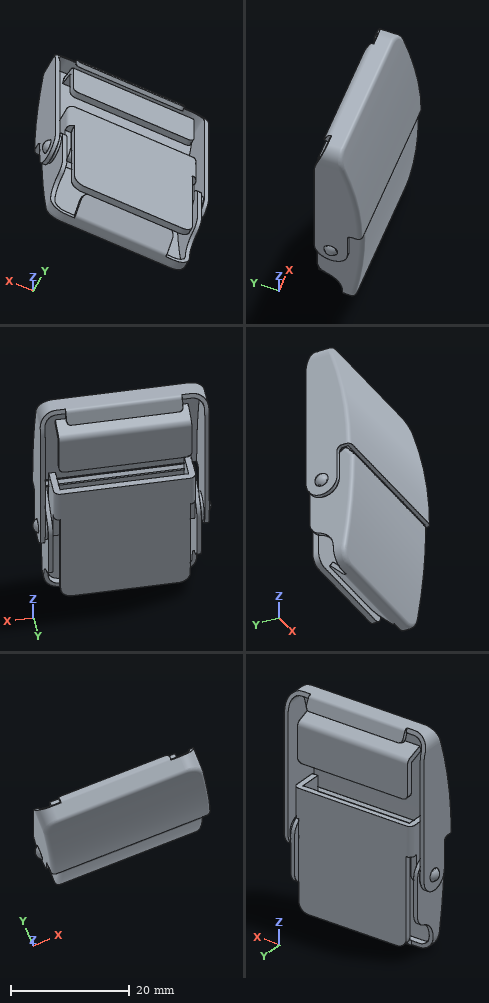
import cadquery as cq
import math


SHEET = 0.8
RIM_FILLET = 0.8
BEND_RADIUS = 0.8
CORNER_RADIUS = 2.9
LIP_INSET = 1.6
SHELL_BACK = 3.0
FRONT = -5.5
EAR_RADIUS = 3.0
OVERCUT = 20.0

UPPER_WIDTH = 29.0
UPPER_TOP = 27.8
UPPER_BOTTOM = 5.9
UPPER_DOME_RADIUS = 60.0
UPPER_SLANT = math.radians(20)
UPPER_SLANT_BLEND = 5.0
UPPER_EDGE = 1.6
EAR_BLEND = 0.9
UPPER_LIP_TURN = math.radians(67)
UPPER_LIP_LENGTH = 2.65
UPPER_LIP_CORNER = 0.8

LOWER_WIDTH = 26.3
LOWER_BOTTOM = -16.2
LOWER_DOME_RADIUS = 105.0
FOLD_Z = 4.6
FLANGE_ANGLE = math.radians(50)
FLANGE_LENGTH = 2.4
LOWER_EDGE = -1.55
NOTCH_RADIUS = 3.8
SHOULDER_RADIUS = 2.5
LOWER_LIP_TURN = math.radians(45)
LOWER_LIP_LENGTH = 4.9
LOWER_LIP_CORNER = 1.9

PLATE_BACK = 3.5
PLATE_THICKNESS = 1.15
HOOK_WIDTH = 22.8
FRAME_WIDTH = 24.4
FRAME_BEND_RADIUS = 1.05
FRAME_TOP = 10.0
FRAME_BOTTOM = -13.9
FRAME_CORNER = 2.0
FRAME_EAR_BOTTOM = 4.0
FRAME_EAR_RADIUS = 2.0
HOOK_BOTTOM = 15.0
HOOK_BEND_START = 21.8
HOOK_BEND_RADIUS = 1.2
HOOK_CORNER = 1.0
HOOK_TILT = math.radians(20)
HOOK_LIP_LENGTH = 3.0

PIN_RADIUS = 1.0
HEAD_RADIUS = 1.25
HEAD_HEIGHT = 0.8
WASHER_RADIUS = 2.5


def side_sketch(width):
    """A YZ workplane at the left end of a body of this width, to extrude along +X."""
    return cq.Workplane("YZ", origin=(-width / 2, 0, 0))


def dome_y(z, top_z, radius, inset=0.0):
    """Y of a domed front wall that is foremost at top_z, moved back by inset."""
    return FRONT + radius - math.sqrt((radius - inset) ** 2 - (z - top_z) ** 2)


def end_outline(width, end_z, open_z, corner):
    """A prism along Y whose two corners at end_z are rounded."""
    prism = cq.Workplane("XY").box(width, 2 * OVERCUT, abs(end_z - open_z))
    prism = prism.translate((0, 0, (end_z + open_z) / 2))
    return prism.edges("|Y").edges(">Z" if end_z > open_z else "<Z").fillet(corner)


def lip(wall_edge, wall_z, turn, length, width, corner):
    """A lip that bends out of an end wall, turned back toward the middle by the angle turn."""
    inward = -math.copysign(1, wall_z)
    along = (math.cos(turn), inward * math.sin(turn))
    miter = math.tan(turn / 2)
    bend_y = wall_edge + BEND_RADIUS * miter
    tip = (bend_y + length * along[0], wall_z + length * along[1])
    tip_inner = (tip[0] - SHEET * math.sin(turn), tip[1] + inward * SHEET * math.cos(turn))
    inner_z = wall_z + inward * SHEET
    root_y = wall_edge - SHEET
    strip = (
        side_sketch(width)
        .moveTo(root_y, wall_z)
        .lineTo(bend_y, wall_z)
        .lineTo(*tip)
        .lineTo(*tip_inner)
        .lineTo(bend_y - SHEET * miter, inner_z)
        .lineTo(root_y, inner_z)
        .close()
        .extrude(width)
    )
    strip = strip.edges(cq.NearestToPointSelector((0, bend_y, wall_z))).fillet(BEND_RADIUS)
    for side in (-1, 1):
        tip_corner = (side * width / 2, (tip[0] + tip_inner[0]) / 2, (tip[1] + tip_inner[1]) / 2)
        strip = strip.edges(cq.NearestToPointSelector(tip_corner)).fillet(corner)
    return strip


def x_cylinder(radius, length):
    """A cylinder on the hinge axis, centred on X = 0."""
    return side_sketch(length).circle(radius).extrude(length)


def make_upper_shell():
    slant_start = UPPER_TOP - (SHELL_BACK - UPPER_EDGE) / math.tan(UPPER_SLANT)
    middle_z = (UPPER_TOP + UPPER_BOTTOM) / 2
    dome_middle = (dome_y(middle_z, UPPER_BOTTOM, UPPER_DOME_RADIUS), middle_z)
    dome_top = (dome_y(UPPER_TOP, UPPER_BOTTOM, UPPER_DOME_RADIUS), UPPER_TOP)
    body = (
        side_sketch(UPPER_WIDTH)
        .moveTo(FRONT, UPPER_BOTTOM)
        .threePointArc(dome_middle, dome_top)
        .lineTo(UPPER_EDGE, UPPER_TOP)
        .lineTo(SHELL_BACK, slant_start)
        .lineTo(SHELL_BACK, 0)
        .threePointArc((0, -EAR_RADIUS), (-EAR_RADIUS, 0))
        .lineTo(-EAR_RADIUS, UPPER_BOTTOM)
        .close()
        .extrude(UPPER_WIDTH)
    )
    body = body.edges(cq.NearestToPointSelector((0, SHELL_BACK, slant_start))).fillet(UPPER_SLANT_BLEND)
    body = body.edges(cq.NearestToPointSelector((0, -EAR_RADIUS, UPPER_BOTTOM))).fillet(EAR_BLEND)
    body = body.intersect(end_outline(UPPER_WIDTH, UPPER_TOP, -OVERCUT, CORNER_RADIUS))
    dome = body.faces(cq.NearestToPointSelector((0, *dome_middle)))
    body = body.newObject(dome.edges().vals()).edges("not(<Z)").fillet(RIM_FILLET)

    inner_top = UPPER_TOP - SHEET
    inner_width = UPPER_WIDTH - 2 * SHEET
    cavity = (
        side_sketch(inner_width)
        .moveTo(FRONT + SHEET, UPPER_BOTTOM)
        .threePointArc(
            (dome_y(middle_z, UPPER_BOTTOM, UPPER_DOME_RADIUS, SHEET), middle_z),
            (dome_y(inner_top, UPPER_BOTTOM, UPPER_DOME_RADIUS, SHEET), inner_top),
        )
        .lineTo(OVERCUT, inner_top)
        .lineTo(OVERCUT, -OVERCUT)
        .lineTo(FRONT + SHEET, -OVERCUT)
        .close()
        .extrude(inner_width)
    )
    cavity = cavity.intersect(end_outline(inner_width, inner_top, -OVERCUT, CORNER_RADIUS - SHEET))
    body = body.cut(cavity)
    lip_width = UPPER_WIDTH - 2 * (CORNER_RADIUS + LIP_INSET)
    body = body.union(lip(UPPER_EDGE, UPPER_TOP, UPPER_LIP_TURN, UPPER_LIP_LENGTH,
                          lip_width, UPPER_LIP_CORNER))
    return body.cut(x_cylinder(PIN_RADIUS, UPPER_WIDTH))


def make_lower_shell():
    along = (math.cos(FLANGE_ANGLE), math.sin(FLANGE_ANGLE))
    fold_miter = math.tan((math.pi / 2 - FLANGE_ANGLE) / 2)
    flange_tip = (FRONT + FLANGE_LENGTH * along[0], FOLD_Z + FLANGE_LENGTH * along[1])
    flange_inner = (flange_tip[0] + SHEET * along[1], flange_tip[1] - SHEET * along[0])

    tip_angle = math.atan2(flange_inner[1], flange_inner[0])
    tangent_angle = tip_angle - math.acos(EAR_RADIUS / math.hypot(*flange_inner))
    ear_start = (EAR_RADIUS * math.cos(tangent_angle), EAR_RADIUS * math.sin(tangent_angle))
    ear_middle = (EAR_RADIUS * math.cos(tangent_angle / 2), EAR_RADIUS * math.sin(tangent_angle / 2))

    notch_y = LOWER_EDGE + NOTCH_RADIUS
    notch_z = LOWER_BOTTOM + CORNER_RADIUS
    shoulder_y = SHELL_BACK - SHOULDER_RADIUS
    reach = NOTCH_RADIUS + SHOULDER_RADIUS
    shoulder_z = notch_z + math.sqrt(reach ** 2 - (notch_y - shoulder_y) ** 2)
    share = NOTCH_RADIUS / reach
    sweep_join = (notch_y + share * (shoulder_y - notch_y), notch_z + share * (shoulder_z - notch_z))

    middle_z = (FOLD_Z + LOWER_BOTTOM) / 2
    dome_middle = (dome_y(middle_z, FOLD_Z, LOWER_DOME_RADIUS), middle_z)
    dome_bottom = (dome_y(LOWER_BOTTOM, FOLD_Z, LOWER_DOME_RADIUS), LOWER_BOTTOM)
    body = (
        side_sketch(LOWER_WIDTH)
        .moveTo(*flange_inner)
        .lineTo(*ear_start)
        .threePointArc(ear_middle, (SHELL_BACK, 0))
        .lineTo(SHELL_BACK, shoulder_z)
        .tangentArcPoint(sweep_join, relative=False)
        .tangentArcPoint((LOWER_EDGE, notch_z), relative=False)
        .lineTo(LOWER_EDGE, LOWER_BOTTOM)
        .lineTo(*dome_bottom)
        .threePointArc(dome_middle, (FRONT, FOLD_Z))
        .lineTo(*flange_tip)
        .close()
        .extrude(LOWER_WIDTH)
    )
    body = body.edges(cq.NearestToPointSelector((0, FRONT, FOLD_Z))).fillet(BEND_RADIUS)
    body = body.intersect(end_outline(LOWER_WIDTH, LOWER_BOTTOM, OVERCUT, CORNER_RADIUS))
    flange_middle = (FRONT + FLANGE_LENGTH / 2 * along[0], FOLD_Z + FLANGE_LENGTH / 2 * along[1])
    rim = []
    for point in (dome_middle, (FRONT, FOLD_Z), flange_middle):
        edges = body.faces(cq.NearestToPointSelector((0, *point))).edges()
        rim.extend(edges.edges("not(|X)").vals())
    dome = body.faces(cq.NearestToPointSelector((0, *dome_middle)))
    rim.extend(dome.edges("<Z").vals())
    body = body.newObject(rim).fillet(RIM_FILLET)

    inner_bottom = LOWER_BOTTOM + SHEET
    inner_width = LOWER_WIDTH - 2 * SHEET
    inner_fold = (FRONT + SHEET, FOLD_Z - SHEET * fold_miter)
    cavity = (
        side_sketch(inner_width)
        .moveTo(*inner_fold)
        .lineTo(inner_fold[0] + OVERCUT * along[0], inner_fold[1] + OVERCUT * along[1])
        .lineTo(OVERCUT, inner_bottom)
        .lineTo(dome_y(inner_bottom, FOLD_Z, LOWER_DOME_RADIUS, SHEET), inner_bottom)
        .threePointArc((dome_y(middle_z, FOLD_Z, LOWER_DOME_RADIUS, SHEET), middle_z), inner_fold)
        .close()
        .extrude(inner_width)
    )
    cavity = cavity.intersect(end_outline(inner_width, inner_bottom, OVERCUT, CORNER_RADIUS - SHEET))
    body = body.cut(cavity)
    lip_width = LOWER_WIDTH - 2 * (CORNER_RADIUS + LIP_INSET)
    body = body.union(lip(LOWER_EDGE, LOWER_BOTTOM, LOWER_LIP_TURN, LOWER_LIP_LENGTH,
                          lip_width, LOWER_LIP_CORNER))
    return body.cut(x_cylinder(PIN_RADIUS, LOWER_WIDTH))


def make_frame():
    """Back plate with two ears that bend forward and carry the pin."""
    plate_width = FRAME_WIDTH - 2 * FRAME_BEND_RADIUS
    plate = cq.Workplane("XY").box(
        plate_width, PLATE_THICKNESS, FRAME_TOP - FRAME_BOTTOM, centered=(True, False, False)
    )
    plate = plate.translate((0, PLATE_BACK - PLATE_THICKNESS, FRAME_BOTTOM))
    plate = plate.edges("|Y and <Z").fillet(FRAME_CORNER)

    ears = (
        side_sketch(FRAME_WIDTH)
        .moveTo(PLATE_BACK, FRAME_TOP)
        .lineTo(-FRAME_EAR_RADIUS, FRAME_TOP)
        .lineTo(-FRAME_EAR_RADIUS, 0)
        .threePointArc((0, -FRAME_EAR_RADIUS), (FRAME_EAR_RADIUS, 0))
        .lineTo(FRAME_EAR_RADIUS, FRAME_EAR_BOTTOM)
        .lineTo(PLATE_BACK, FRAME_EAR_BOTTOM)
        .close()
        .extrude(FRAME_WIDTH)
    )
    ears = ears.edges("|Z and >Y").fillet(FRAME_BEND_RADIUS)
    gap = cq.Workplane("XY").box(FRAME_WIDTH - 2 * PLATE_THICKNESS, 2 * OVERCUT, 2 * OVERCUT)
    gap = gap.translate((0, PLATE_BACK - PLATE_THICKNESS - OVERCUT, 0))
    return plate.union(ears.cut(gap)).cut(x_cylinder(PIN_RADIUS, FRAME_WIDTH))


def make_hook_plate():
    """Upright plate whose top bends forward into a rising lip."""
    front = PLATE_BACK - PLATE_THICKNESS
    bend_y = PLATE_BACK - HOOK_BEND_RADIUS
    inner_radius = HOOK_BEND_RADIUS - PLATE_THICKNESS
    normal = (math.sin(HOOK_TILT), math.cos(HOOK_TILT))
    along = (-normal[1], normal[0])
    half_bend = (math.pi / 2 - HOOK_TILT) / 2

    def on_bend(radius, angle):
        return (bend_y + radius * math.cos(angle), HOOK_BEND_START + radius * math.sin(angle))

    outer_end = on_bend(HOOK_BEND_RADIUS, 2 * half_bend)
    inner_end = on_bend(inner_radius, 2 * half_bend)
    reach = (HOOK_LIP_LENGTH * along[0], HOOK_LIP_LENGTH * along[1])
    plate = (
        side_sketch(HOOK_WIDTH)
        .moveTo(PLATE_BACK, HOOK_BOTTOM)
        .lineTo(PLATE_BACK, HOOK_BEND_START)
        .threePointArc(on_bend(HOOK_BEND_RADIUS, half_bend), outer_end)
        .lineTo(outer_end[0] + reach[0], outer_end[1] + reach[1])
        .lineTo(inner_end[0] + reach[0], inner_end[1] + reach[1])
        .lineTo(*inner_end)
        .threePointArc(on_bend(inner_radius, half_bend), (front, HOOK_BEND_START))
        .lineTo(front, HOOK_BOTTOM)
        .close()
        .extrude(HOOK_WIDTH)
    )
    return plate.edges("|Y and <Z").fillet(HOOK_CORNER)


def make_pin():
    """Shank through both shells with a domed head on each outer face."""
    face_x = UPPER_WIDTH / 2
    dome_radius = (HEAD_RADIUS ** 2 + HEAD_HEIGHT ** 2) / (2 * HEAD_HEIGHT)
    half_arc = math.asin(HEAD_RADIUS / dome_radius) / 2
    middle_x = face_x + HEAD_HEIGHT - dome_radius * (1 - math.cos(half_arc))
    middle_r = dome_radius * math.sin(half_arc)
    tip_x = face_x + HEAD_HEIGHT
    profile = (
        cq.Workplane("XY")
        .moveTo(-tip_x, 0)
        .threePointArc((-middle_x, middle_r), (-face_x, HEAD_RADIUS))
        .lineTo(-face_x, PIN_RADIUS)
        .lineTo(face_x, PIN_RADIUS)
        .lineTo(face_x, HEAD_RADIUS)
        .threePointArc((middle_x, middle_r), (tip_x, 0))
        .close()
    )
    return profile.revolve(360, (0, 0, 0), (1, 0, 0))


def make_washer(side):
    """Washer filling the gap between the two shells on one side (-1 left, 1 right)."""
    inner_x = LOWER_WIDTH / 2
    thickness = UPPER_WIDTH / 2 - SHEET - inner_x
    washer = x_cylinder(WASHER_RADIUS, thickness).cut(x_cylinder(PIN_RADIUS, thickness))
    return washer.translate((side * (inner_x + thickness / 2), 0, 0))


upper_shell = make_upper_shell()
lower_shell = make_lower_shell()
frame = make_frame()
hook_plate = make_hook_plate()
pin = make_pin()
washers = [make_washer(side) for side in (-1, 1)]

result = cq.Compound.makeCompound(
    [
        upper_shell.val(),
        lower_shell.val(),
        frame.val(),
        hook_plate.val(),
        pin.val(),
        *[washer.val() for washer in washers],
    ]
)